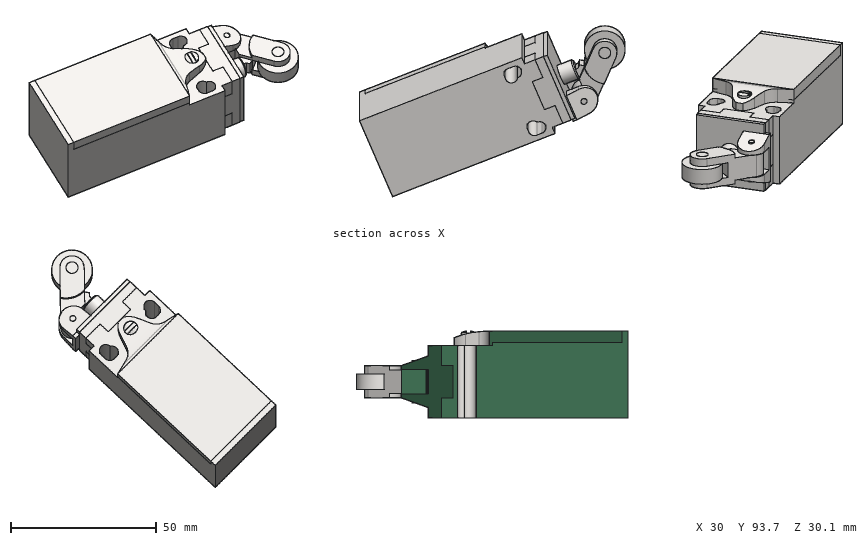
import cadquery as cq
import math

total_length = 93.7
housing_width = 30.0
seam_step = 0.1

shoulder_y = 60.5
shoulder_z = 25.0
lid_seat_y = 46.85
lid_seat_z = 26.1
lid_top_z = 30.1
end_wall = 2.2
mid_z = shoulder_z / 2

hole_radius = 2.2
hole_x = 11.0
hole_top_y = 56.5
hole_low_y = 54.5
hole_inset = 1.1

head_half_width = 12.6
key_half_width = 5.5
post_end_y = 64.5
flange_y = 67.6
head_end_y = 69.0

pivot_radius = 4.8
ear_gap_half = 4.1
ear_root_half = 8.9
ear_tip_half = 5.5

plunger_radius = 3.6
plunger_end_y = 74.7
plunger_chamfer = 0.5

roller_radius = 7.0
roller_half_width = 2.7
roller_clearance = 0.8
lever_length = 18.55
lever_angle = 45.0
lever_half_width = 4.2
fork_step_top = 8.1
fork_step_bottom = 10.6
axle_radius = 2.1
pin_radius = 1.0
pin_half_length = 7.3
slot_start = lever_length - roller_radius - roller_clearance
roller_y = total_length - roller_radius
pivot_y = roller_y - lever_length * math.sin(math.radians(lever_angle))
pivot_x = -9.65

tongue_tip_z = 27.7
tongue_crown_y = 47.8
tongue_tip_y = 60.0
tongue_tip_half_width = 1.2
screw_y = 55.1
screw_radius = 2.4
screw_rim_z = 29.5
screw_dome_height = 0.6
screw_slot_width = 1.4
screw_slot_z = 29.3


def block(x_range, y_range, z_range):
    """Box between the given pairs of limits."""
    sizes = [high - low for low, high in (x_range, y_range, z_range)]
    corner = (x_range[0], y_range[0], z_range[0])
    return cq.Workplane("XY").box(*sizes, centered=False).translate(corner)


def about_middle(half_width, middle=0.0):
    """Limits that lie half_width to each side of the middle."""
    return (middle - half_width, middle + half_width)


def layer(half_height):
    """Workplane at the bottom of a layer centred on the height of the lever."""
    return cq.Workplane("XY").workplane(offset=mid_z - half_height)


def mounting_hole(side):
    x_outer = side * hole_x
    x_middle = x_outer - side * hole_inset / 2
    slot_width = 2 * hole_radius
    upright_length = hole_top_y - hole_low_y + slot_width
    upright_y = (hole_top_y + hole_low_y) / 2
    upright = (cq.Workplane("XY").center(x_outer, upright_y)
               .slot2D(upright_length, slot_width, 90).extrude(shoulder_z))
    foot = (cq.Workplane("XY").center(x_middle, hole_low_y)
            .slot2D(hole_inset + slot_width, slot_width).extrude(shoulder_z))
    return upright.union(foot)


def head_key():
    """Cross that fills the space between the four corner posts of the housing."""
    key_y = (shoulder_y, post_end_y)
    upright = block(about_middle(key_half_width), key_y, (0, shoulder_z))
    crossbar = block(about_middle(head_half_width), key_y, about_middle(key_half_width, mid_z))
    return upright.union(crossbar)


def make_housing():
    width = about_middle(housing_width / 2)
    body = block(width, (0, shoulder_y), (0, shoulder_z))
    body = body.union(block(width, (0, lid_seat_y), (0, lid_seat_z)))
    body = body.union(block(width, (0, end_wall), (0, lid_top_z)))
    posts = block(about_middle(head_half_width), (shoulder_y, post_end_y), (0, shoulder_z))
    body = body.union(posts.cut(head_key()))
    for side in (-1, 1):
        body = body.cut(mounting_hole(side))
    return body


def lid_tongue():
    """Bell-shaped tongue that holds the screw, with its top curving down to the tip."""
    half_bell = (cq.Workplane("XY").workplane(offset=shoulder_z)
                 .moveTo(0, tongue_tip_y)
                 .lineTo(tongue_tip_half_width, tongue_tip_y)
                 .threePointArc((3.1, 58.1), (4.1, 56.1))
                 .lineTo(5.9, 51.35)
                 .threePointArc((7.4, 49.3), (9.6, 48.2))
                 .lineTo(housing_width / 2, lid_seat_y)
                 .lineTo(0, lid_seat_y)
                 .close().extrude(lid_top_z - shoulder_z))
    bell = half_bell.union(half_bell.mirror("YZ"))
    crown_z = lid_top_z - seam_step
    top_profile = (cq.Workplane("YZ").workplane(offset=-housing_width / 2)
                   .moveTo(lid_seat_y, shoulder_z)
                   .lineTo(lid_seat_y, crown_z)
                   .lineTo(tongue_crown_y, crown_z)
                   .tangentArcPoint((tongue_tip_y, tongue_tip_z), relative=False)
                   .lineTo(tongue_tip_y, shoulder_z)
                   .close().extrude(housing_width))
    return bell.intersect(top_profile)


def lid_screw():
    """Domed slotted screw head."""
    apex_z = screw_rim_z + screw_dome_height
    dome_radius = (screw_radius ** 2 + screw_dome_height ** 2) / (2 * screw_dome_height)
    dome = cq.Workplane("XY").sphere(dome_radius).translate((0, screw_y, apex_z - dome_radius))
    shank = (cq.Workplane("XY").workplane(offset=shoulder_z).center(0, screw_y)
             .circle(screw_radius).extrude(apex_z - shoulder_z))
    return shank.intersect(dome)


def make_lid():
    plate = block(about_middle(housing_width / 2), (end_wall, lid_seat_y), (lid_seat_z, lid_top_z))
    slot = block(about_middle(screw_radius), about_middle(screw_slot_width / 2, screw_y),
                 (screw_slot_z, screw_rim_z + screw_dome_height))
    return plate.union(lid_tongue()).union(lid_screw()).cut(slot)


def lever_bracket():
    """Two tapered, rounded ears on a common foot, with a bore for the lever pin."""
    ear_end_y = pivot_y + pivot_radius
    taper = (cq.Workplane("YZ").workplane(offset=pivot_x - pivot_radius)
             .polyline([(flange_y, mid_z - ear_root_half),
                        (head_end_y, mid_z - ear_root_half),
                        (ear_end_y, mid_z - ear_tip_half),
                        (ear_end_y, mid_z + ear_tip_half),
                        (head_end_y, mid_z + ear_root_half),
                        (flange_y, mid_z + ear_root_half)])
             .close().extrude(2 * pivot_radius))
    outline = (layer(ear_root_half)
               .moveTo(pivot_x - pivot_radius, flange_y)
               .lineTo(pivot_x - pivot_radius, pivot_y)
               .threePointArc((pivot_x, ear_end_y), (pivot_x + pivot_radius, pivot_y))
               .lineTo(pivot_x + pivot_radius, flange_y)
               .close().extrude(2 * ear_root_half))
    gap = block(about_middle(pivot_radius, pivot_x), (head_end_y, ear_end_y),
                about_middle(ear_gap_half, mid_z))
    bore = layer(ear_root_half).center(pivot_x, pivot_y).circle(pin_radius).extrude(2 * ear_root_half)
    return taper.intersect(outline).cut(gap).cut(bore)


def plunger():
    length = plunger_end_y - flange_y
    return (cq.Workplane("XZ", origin=(0, flange_y, mid_z)).circle(plunger_radius).extrude(-length)
            .faces(">Y").chamfer(plunger_chamfer))


def make_head():
    body = block(about_middle(head_half_width), (post_end_y, flange_y), (0, shoulder_z))
    flange = block(about_middle(head_half_width - seam_step), (flange_y, head_end_y),
                   (seam_step, shoulder_z - seam_step))
    return body.union(head_key()).union(flange).union(lever_bracket()).union(plunger())


def place_lever(shape):
    """Turn a shape drawn along X from the origin to the slope of the lever, at its pivot."""
    return shape.rotate((0, 0, 0), (0, 0, 1), lever_angle).translate((pivot_x, pivot_y, 0))


def lever_stem():
    """Narrow bar between the ears, cut off flat above the plunger, with a round pivot end."""
    bar = layer(ear_gap_half).rect(slot_start, 2 * lever_half_width).extrude(2 * ear_gap_half)
    bar = place_lever(bar.translate((slot_start / 2, 0, 0)))
    below_plunger_end = block(about_middle(lever_length, pivot_x), (0, plunger_end_y), (0, shoulder_z))
    eye = (layer(ear_gap_half).center(pivot_x, pivot_y)
           .circle(lever_half_width).extrude(2 * ear_gap_half))
    return bar.cut(below_plunger_end).union(eye)


def lever_fork():
    """Thicker arms with a round end, a curved step toward the pivot and a slot for the roller."""
    fork = (layer(ear_tip_half)
            .moveTo(fork_step_top, lever_half_width)
            .lineTo(lever_length, lever_half_width)
            .threePointArc((lever_length + lever_half_width, 0), (lever_length, -lever_half_width))
            .lineTo(fork_step_bottom, -lever_half_width)
            .threePointArc((8.2, -0.6), (fork_step_top, lever_half_width))
            .close().extrude(2 * ear_tip_half))
    slot = block((slot_start, lever_length + roller_radius), about_middle(lever_half_width),
                 about_middle(roller_half_width, mid_z))
    return place_lever(fork.cut(slot))


def lever_nose():
    """Small nose on the underside of the lever that rests on the plunger."""
    return (layer(roller_half_width)
            .polyline([(-2.5, plunger_end_y), (0.75, plunger_end_y), (1.0, 75.8),
                       (1.8, 76.6), (0.9, 78.0), (-2.5, 78.0)])
            .close().extrude(2 * roller_half_width))


def roller_and_axle():
    roller = layer(roller_half_width).circle(roller_radius).extrude(2 * roller_half_width)
    axle_half_length = ear_tip_half + seam_step
    axle = layer(axle_half_length).circle(axle_radius).extrude(2 * axle_half_length)
    return place_lever(roller.union(axle).translate((lever_length, 0, 0)))


def make_lever():
    pin = layer(pin_half_length).center(pivot_x, pivot_y).circle(pin_radius).extrude(2 * pin_half_length)
    return lever_stem().union(lever_fork()).union(lever_nose()).union(roller_and_axle()).union(pin)


housing = make_housing()
lid = make_lid()
head = make_head()
lever = make_lever()

result = cq.Compound.makeCompound([
    housing.solids().val(),
    lid.solids().val(),
    head.solids().val(),
    lever.solids().val(),
])